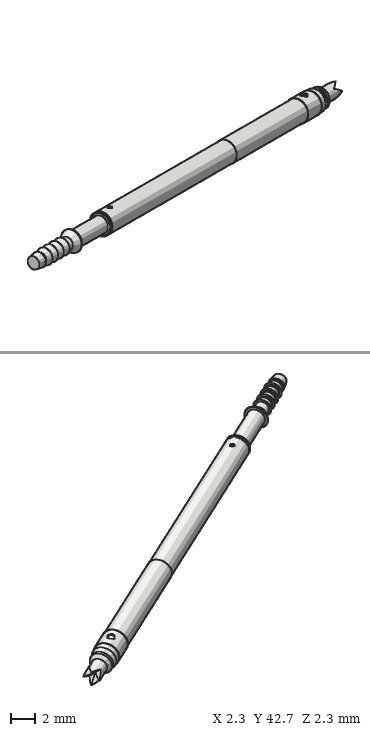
import cadquery as cq
import math

overall_length = 42.7

barb_count = 5
barb_pitch = 0.8
barb_length = 0.6
barb_diameter = 1.6
end_barb_diameter = 1.42
barb_root_diameter = 1.2
tail_core_length = 4.74

flange_diameter = 2.1
flange_cone_length = 0.58
flange_rim_width = 0.1

barrel_diameter = 1.6
barrel_length = 4.0

rear_body_diameter = 2.15
rear_body_length = 17.8
front_body_diameter = 2.2
front_body_length = 10.05
band_diameter = 2.3
band_length = 1.93
cap_length = 0.57
body_start = tail_core_length + flange_cone_length + flange_rim_width + barrel_length
body_length = rear_body_length + front_body_length + band_length + cap_length
edge_groove_width = 0.2
edge_groove_depth = 0.1
edge_groove_offset = 0.06

shoulder_length = 0.48
shoulder_diameter = 1.6
collar_diameter = 2.0
collar_width = 0.26
collar_cone_length = 0.34

tip_diameter = 1.4
crown_depth = 0.9
crown_groove_directions = (45, 135)

front_dimple_diameter = 0.65
front_dimple_from_tip = 4.5
rear_dimple_diameter = 0.4
rear_dimple_from_tip = 31.9
dimple_depth = 0.15


def cylinder(start, length, diameter):
    """Cylinder on the Y axis, from Y = start towards +Y."""
    return cq.Workplane("XZ", origin=(0, start, 0)).circle(diameter / 2).extrude(-length)


def cone(start, length, start_diameter, end_diameter):
    """Truncated cone on the Y axis, from Y = start towards +Y."""
    solid = cq.Solid.makeCone(
        start_diameter / 2, end_diameter / 2, length, cq.Vector(0, start, 0), cq.Vector(0, 1, 0)
    )
    return cq.Workplane(obj=solid)


def make_tail():
    """Straight core with barbs that widen towards the body."""
    tail = cylinder(0, tail_core_length, barb_root_diameter)
    tail = tail.union(cone(0, barb_pitch, barb_root_diameter, end_barb_diameter))
    for index in range(1, barb_count):
        start = (index + 1) * barb_pitch - barb_length
        tail = tail.union(cone(start, barb_length, barb_root_diameter, barb_diameter))
    return tail


def make_flange_and_barrel():
    """Conical flange and the slim barrel that joins it to the body."""
    rim_start = tail_core_length + flange_cone_length
    barrel_start = rim_start + flange_rim_width
    flange = cone(tail_core_length, flange_cone_length, barb_root_diameter, flange_diameter)
    flange = flange.union(cylinder(rim_start, flange_rim_width, flange_diameter))
    return flange.union(cylinder(barrel_start, barrel_length, barrel_diameter))


def make_body():
    """Rear part with a shallow groove near its edge, front part, band and cap."""
    front_start = body_start + rear_body_length
    band_start = front_start + front_body_length
    groove_start = body_start + edge_groove_offset
    groove = cylinder(groove_start, edge_groove_width, rear_body_diameter)
    groove_core = cylinder(groove_start, edge_groove_width, rear_body_diameter - 2 * edge_groove_depth)
    body = cylinder(body_start, rear_body_length, rear_body_diameter).cut(groove.cut(groove_core))
    body = body.union(cylinder(front_start, front_body_length, front_body_diameter))
    body = body.union(cylinder(band_start, band_length, band_diameter))
    return body.union(cylinder(band_start + band_length, cap_length, front_body_diameter))


def make_head():
    """Tapered shoulder, collar, collar cone and the plain tip cylinder."""
    shoulder_start = body_start + body_length
    collar_start = shoulder_start + shoulder_length
    cone_start = collar_start + collar_width
    tip_start = cone_start + collar_cone_length
    head = cone(shoulder_start, shoulder_length, front_body_diameter, shoulder_diameter)
    head = head.union(cylinder(collar_start, collar_width, collar_diameter))
    head = head.union(cone(cone_start, collar_cone_length, collar_diameter, tip_diameter))
    return head.union(cylinder(tip_start, overall_length - tip_start, tip_diameter))


def make_crown_groove(direction):
    """V-groove across the tip; two of them leave four pointed teeth."""
    half_width = tip_diameter / 2 * math.sin(math.radians(45))
    groove = (
        cq.Workplane("XY")
        .moveTo(0, overall_length - crown_depth)
        .lineTo(half_width, overall_length)
        .lineTo(-half_width, overall_length)
        .close()
        .extrude(tip_diameter, both=True)
    )
    return groove.rotate((0, 0, 0), (0, 1, 0), direction)


def make_dimple(from_tip, diameter, surface_diameter):
    """Round blind dimple in the top of a cylinder of the given diameter."""
    floor_height = surface_diameter / 2 - dimple_depth
    plane = cq.Workplane("XY", origin=(0, overall_length - from_tip, floor_height))
    return plane.circle(diameter / 2).extrude(surface_diameter)


result = make_tail().union(make_flange_and_barrel()).union(make_body()).union(make_head())
for direction in crown_groove_directions:
    result = result.cut(make_crown_groove(direction))
result = result.cut(make_dimple(front_dimple_from_tip, front_dimple_diameter, band_diameter))
result = result.cut(make_dimple(rear_dimple_from_tip, rear_dimple_diameter, rear_body_diameter))